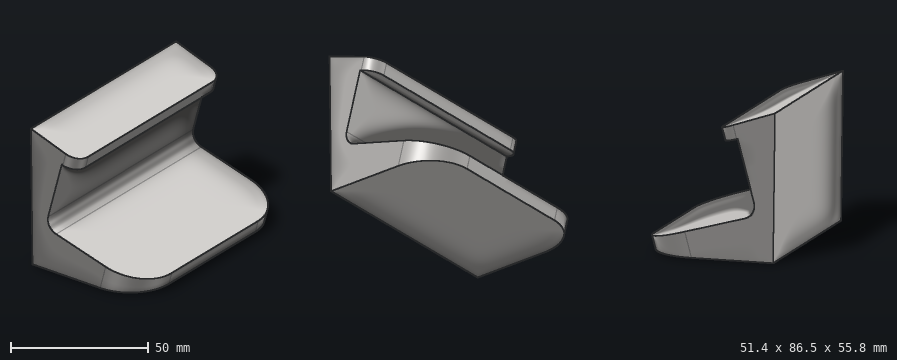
import cadquery as cq
import math

total_length = 51.35
width = 86.55
total_height = 55.77

lean_angle = 15.0

tip_height = 5.4
floor_length = 46.2
floor_tip_thickness = 5.1
wall_height = 29.1
lip_projection = 6.4
lip_thickness = 5.0
inner_corner_radius = 5.0

heel_inset = 0.7

floor_corner_radius = 17.5
lip_corner_radius = 6.0

lean = math.radians(lean_angle)
half_width = width / 2

corner_x = total_length - floor_length * math.cos(lean)
corner_z = tip_height + floor_length * math.sin(lean)


def rest_point(along_floor, up_wall):
    """XZ point given by distances along the floor and up the wall from the inner corner."""
    return (
        corner_x + along_floor * math.cos(lean) + up_wall * math.sin(lean),
        corner_z - along_floor * math.sin(lean) + up_wall * math.cos(lean),
    )


def side_profile_body():
    """Side outline extruded over the full width, with the inner corner rounded."""
    lip_top = wall_height + lip_thickness
    outline = [
        (heel_inset, 0),
        rest_point(floor_length, -floor_tip_thickness),
        rest_point(floor_length, 0),
        rest_point(inner_corner_radius, 0),
    ]
    arc_offset = inner_corner_radius * (1 - math.sqrt(0.5))
    upper_outline = [
        rest_point(0, wall_height),
        rest_point(lip_projection, wall_height),
        rest_point(lip_projection, lip_top),
        (0, total_height),
    ]
    profile = (
        cq.Workplane("XZ")
        .polyline(outline)
        .threePointArc(rest_point(arc_offset, arc_offset), rest_point(0, inner_corner_radius))
    )
    for point in upper_outline:
        profile = profile.lineTo(*point)
    return profile.close().extrude(half_width, both=True)


def round_end_corners(body, along_floor, up_wall, radius):
    """Round the two edges that run parallel to the wall at the end of the floor or lip."""
    x, z = rest_point(along_floor, up_wall)
    for y in (-half_width, half_width):
        body = body.edges(cq.selectors.NearestToPointSelector((x, y, z))).fillet(radius)
    return body


stand = side_profile_body()
stand = round_end_corners(stand, floor_length, -floor_tip_thickness / 2, floor_corner_radius)
stand = round_end_corners(stand, lip_projection, wall_height + lip_thickness / 2, lip_corner_radius)

result = stand